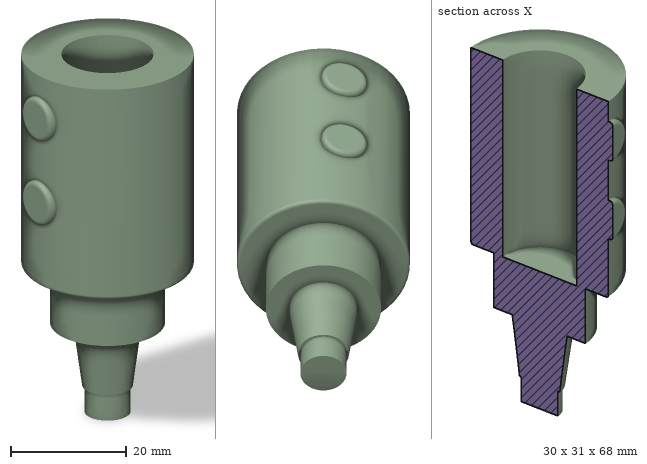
import cadquery as cq

total_height = 68.0
tip_diameter = 8.0
tip_height = 5.0
cone_bottom_diameter = 8.85
cone_top_diameter = 12.05
cone_height = 11.9
collar_diameter = 20.0
collar_height = 11.1

body_diameter = 30.0
body_bottom_radius = 0.6
bore_diameter = 16.0

screw_diameter = 8.0
screw_rim_radius = 0.8
screw_protrusion = 0.95
top_screw_depth = 8.0
screw_spacing = 16.0

cone_bottom = tip_height
collar_bottom = cone_bottom + cone_height
body_bottom = collar_bottom + collar_height
body_height = total_height - body_bottom
bore_depth = body_height
screw_face_y = -(body_diameter / 2 + screw_protrusion)
screw_length = screw_protrusion + (body_diameter - bore_diameter) / 4


def cylinder(diameter, height, bottom):
    """Vertical cylinder on the part axis."""
    return cq.Workplane("XY").workplane(offset=bottom).circle(diameter / 2).extrude(height)


def make_cone():
    """Tapered neck, slightly wider than the tip at its lower end."""
    return (
        cq.Workplane("XY")
        .workplane(offset=cone_bottom)
        .circle(cone_bottom_diameter / 2)
        .workplane(offset=cone_height)
        .circle(cone_top_diameter / 2)
        .loft(ruled=True)
    )


def make_screw(height):
    """Screw pointing along Y, with a rounded rim around its outer face."""
    return (
        cq.Workplane("XZ", origin=(0, screw_face_y, height))
        .circle(screw_diameter / 2)
        .extrude(-screw_length)
        .faces("<Y")
        .fillet(screw_rim_radius)
    )


body = cylinder(body_diameter, body_height, body_bottom).faces("<Z").fillet(body_bottom_radius)
bore = cylinder(bore_diameter, bore_depth, total_height - bore_depth)

result = (
    cylinder(tip_diameter, tip_height, 0)
    .union(make_cone())
    .union(cylinder(collar_diameter, collar_height, collar_bottom))
    .union(body)
    .cut(bore)
)
for index in range(2):
    screw_height = total_height - top_screw_depth - index * screw_spacing
    result = result.union(make_screw(screw_height))